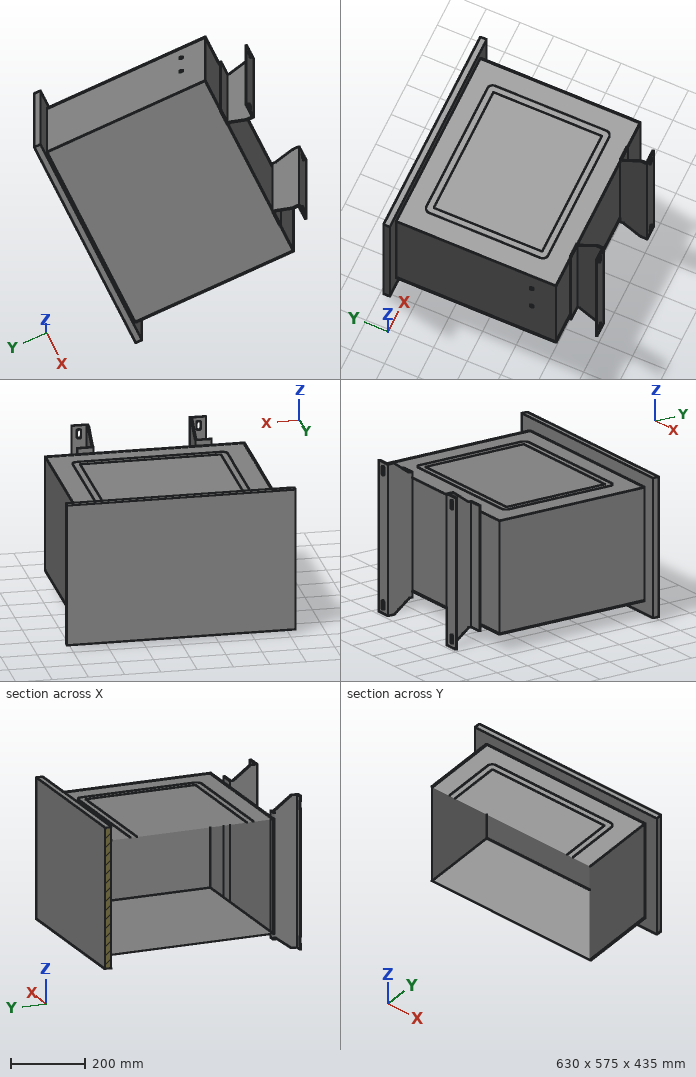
import cadquery as cq

panel_width = 630.0
panel_thickness = 19.0
panel_height = 402.0

housing_width = 550.0
housing_depth = 475.5
housing_height = 327.0
sheet = 2.0
rear_y = -panel_thickness - housing_depth

window_width = 427.0
window_depth = 361.0
window_corner = 15.0
window_y = -255.0
window_recess = 0.5
pane_recess = 0.75
window_border = 19.5

side_hole_diameter = 10.0
side_hole_y = -421.5
side_hole_upper_z = 90.0
side_hole_pitch = 100.0

bracket_span = 370.5
bracket_width = 45.0
bracket_depth = 80.5
bracket_height = 435.0
bracket_sheet = 4.0
inner_flange_height = 360.0
web_inner_land = 10.0
web_outer_land = 20.0

slot_width = 12.0
slot_length = 26.0
slot_spacing_x = 330.0
slot_spacing_z = 385.5


def box_between(x_range, y_range, z_range):
    """Box from its lower and upper limit along each axis."""
    limits = (x_range, y_range, z_range)
    size = [upper - lower for lower, upper in limits]
    start = [lower for lower, upper in limits]
    return cq.Workplane("XY").box(*size, centered=False).translate(tuple(start))


def make_front_panel():
    return box_between(
        (-panel_width / 2, panel_width / 2),
        (-panel_thickness, 0),
        (-panel_height / 2, panel_height / 2),
    )


def cut_window(housing):
    """Sink a shallow round-cornered recess with a deeper rectangular pane inside it."""
    top_z = housing_height / 2
    recess = (
        cq.Workplane("XY", origin=(0, window_y, top_z - window_recess))
        .rect(window_width, window_depth)
        .extrude(window_recess)
        .edges("|Z")
        .fillet(window_corner)
    )
    pane = (
        cq.Workplane("XY", origin=(0, window_y, top_z - pane_recess))
        .rect(window_width - 2 * window_border, window_depth - 2 * window_border)
        .extrude(pane_recess)
    )
    return housing.cut(recess).cut(pane)


def cut_side_holes(housing):
    for z in (side_hole_upper_z, side_hole_upper_z - side_hole_pitch):
        hole = (
            cq.Workplane("YZ", origin=(-housing_width / 2, side_hole_y, z))
            .circle(side_hole_diameter / 2)
            .extrude(sheet)
        )
        housing = housing.cut(hole)
    return housing


def make_housing():
    outside = box_between(
        (-housing_width / 2, housing_width / 2),
        (rear_y, -panel_thickness),
        (-housing_height / 2, housing_height / 2),
    )
    cavity = box_between(
        (-housing_width / 2 + sheet, housing_width / 2 - sheet),
        (rear_y + sheet, -panel_thickness),
        (-housing_height / 2 + sheet, housing_height / 2 - sheet),
    )
    return cut_side_holes(cut_window(outside.cut(cavity)))


def make_bracket(side):
    """Bracket behind the housing; side is -1 for left, +1 for right."""
    outer_y = rear_y - bracket_depth
    free_x = side * bracket_span / 2
    web_x = free_x - side * bracket_width
    flange_x = sorted((free_x, web_x))
    inner_flange = box_between(
        flange_x,
        (rear_y - bracket_sheet, rear_y),
        (-inner_flange_height / 2, inner_flange_height / 2),
    )
    outer_flange = box_between(
        flange_x,
        (outer_y, outer_y + bracket_sheet),
        (-bracket_height / 2, bracket_height / 2),
    )
    upper_edge = [
        (rear_y, inner_flange_height / 2),
        (rear_y - web_inner_land, inner_flange_height / 2),
        (outer_y + web_outer_land, bracket_height / 2),
        (outer_y, bracket_height / 2),
    ]
    lower_edge = [(y, -z) for y, z in reversed(upper_edge)]
    web = (
        cq.Workplane("YZ", origin=(web_x, 0, 0))
        .polyline(upper_edge + lower_edge)
        .close()
        .extrude(side * bracket_sheet)
    )
    bracket = inner_flange.union(web).union(outer_flange)
    for end in (-1, 1):
        slot_centre = (side * slot_spacing_x / 2, outer_y, end * slot_spacing_z / 2)
        slot = (
            cq.Workplane("XZ", origin=slot_centre)
            .slot2D(slot_length, slot_width, 90)
            .extrude(-bracket_sheet)
        )
        bracket = bracket.cut(slot)
    return bracket


front_panel = make_front_panel()
housing = make_housing()
brackets = [make_bracket(side) for side in (-1, 1)]

result = cq.Compound.makeCompound(
    [front_panel.val(), housing.val(), *[bracket.val() for bracket in brackets]]
)